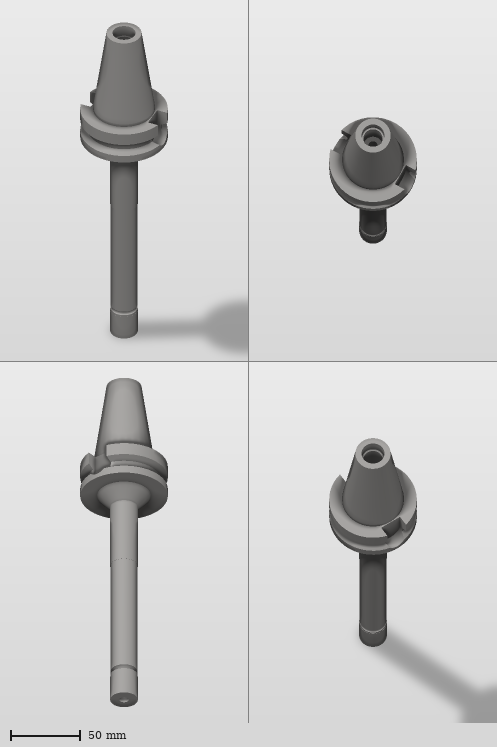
import cadquery as cq
import math

TOTAL_HEIGHT = 265.5
GAUGE_Z = 200.0
FLANGE_TOP_Z = 198.0
UPPER_RIM_BOTTOM_Z = 188.7
LOWER_RIM_TOP_Z = 179.0
FLANGE_BOTTOM_Z = 173.0
SHANK_TOP_Z = 163.2
SHANK_STEP_Z = 113.5
RING_GROOVE_TOP_Z = 24.0
RING_GROOVE_BOTTOM_Z = 20.7
NUT_TOP_Z = 19.0

FLANGE_RADIUS = 63.0 / 2
GROOVE_RADIUS = 26.8
GROOVE_SLOPE = math.tan(math.radians(30))
GAUGE_RADIUS = 44.3 / 2
TAPER_RATIO = 7 / 24
CONE_RADIUS = 19.5
SHANK_RADIUS = 20.0 / 2
LOWER_SHANK_RADIUS = 19.6 / 2
NUT_RADIUS = SHANK_RADIUS

SLOT_WIDTH = 16.2
SLOT_FLOOR_X = 22.5
SLOT_BOTTOM_Z = 176.2

MOUTH_RADIUS = 8.2
MOUTH_DEPTH = 8.5
THREAD_RADIUS = 7.0
THREAD_DEPTH = 29.2
COOLANT_RADIUS = 3.5


def revolve_profile(points):
    """Solid of revolution about Z from (radius, height) points."""
    profile = cq.Workplane("XZ").polyline(points).close()
    return profile.revolve(360, (0, 0, 0), (0, 1, 0))


def bore(radius, bottom_z, top_z):
    """Cylindrical cutter on the Z axis."""
    return cq.Workplane("XY", origin=(0, 0, bottom_z)).circle(radius).extrude(top_z - bottom_z)


def drive_slot(side):
    """Round-bottomed slot cutter, open at the rim; side is +1 or -1 along X."""
    half_width = SLOT_WIDTH / 2
    arc_centre_z = SLOT_BOTTOM_Z + half_width
    return (
        cq.Workplane("YZ", origin=(side * SLOT_FLOOR_X, 0, 0))
        .moveTo(-half_width, FLANGE_TOP_Z)
        .lineTo(-half_width, arc_centre_z)
        .threePointArc((0, SLOT_BOTTOM_Z), (half_width, arc_centre_z))
        .lineTo(half_width, FLANGE_TOP_Z)
        .close()
        .extrude(side * FLANGE_RADIUS)
    )


def ring_groove():
    """Half-round ring cutter around the foot of the shank."""
    section_radius = (RING_GROOVE_TOP_Z - RING_GROOVE_BOTTOM_Z) / 2
    centre_z = (RING_GROOVE_TOP_Z + RING_GROOVE_BOTTOM_Z) / 2
    ring = cq.Solid.makeTorus(LOWER_SHANK_RADIUS, section_radius, cq.Vector(0, 0, centre_z))
    return cq.Workplane(ring)


def make_holder():
    """Taper, flange, cone and stepped shank, with the drive slots and the bore."""
    taper_top_radius = GAUGE_RADIUS - (TOTAL_HEIGHT - GAUGE_Z) * TAPER_RATIO / 2
    groove_wall = (FLANGE_RADIUS - GROOVE_RADIUS) * GROOVE_SLOPE
    holder = revolve_profile([
        (0, TOTAL_HEIGHT),
        (taper_top_radius, TOTAL_HEIGHT),
        (GAUGE_RADIUS, GAUGE_Z),
        (GAUGE_RADIUS, FLANGE_TOP_Z),
        (FLANGE_RADIUS, FLANGE_TOP_Z),
        (FLANGE_RADIUS, UPPER_RIM_BOTTOM_Z),
        (GROOVE_RADIUS, UPPER_RIM_BOTTOM_Z - groove_wall),
        (GROOVE_RADIUS, LOWER_RIM_TOP_Z + groove_wall),
        (FLANGE_RADIUS, LOWER_RIM_TOP_Z),
        (FLANGE_RADIUS, FLANGE_BOTTOM_Z),
        (CONE_RADIUS, FLANGE_BOTTOM_Z),
        (SHANK_RADIUS, SHANK_TOP_Z),
        (SHANK_RADIUS, SHANK_STEP_Z),
        (LOWER_SHANK_RADIUS, SHANK_STEP_Z),
        (LOWER_SHANK_RADIUS, NUT_TOP_Z),
        (0, NUT_TOP_Z),
    ])
    holder = holder.cut(ring_groove())
    for side in (1, -1):
        holder = holder.cut(drive_slot(side))
    holder = holder.cut(bore(MOUTH_RADIUS, TOTAL_HEIGHT - MOUTH_DEPTH, TOTAL_HEIGHT))
    holder = holder.cut(bore(THREAD_RADIUS, TOTAL_HEIGHT - THREAD_DEPTH, TOTAL_HEIGHT))
    return holder.cut(bore(COOLANT_RADIUS, NUT_TOP_Z, TOTAL_HEIGHT))


def make_nut():
    """Plain round nut with the coolant passage through it."""
    nut = cq.Workplane("XY").circle(NUT_RADIUS).extrude(NUT_TOP_Z)
    return nut.cut(bore(COOLANT_RADIUS, 0, NUT_TOP_Z))


holder = make_holder()
nut = make_nut()

result = cq.Compound.makeCompound([holder.val(), nut.val()])